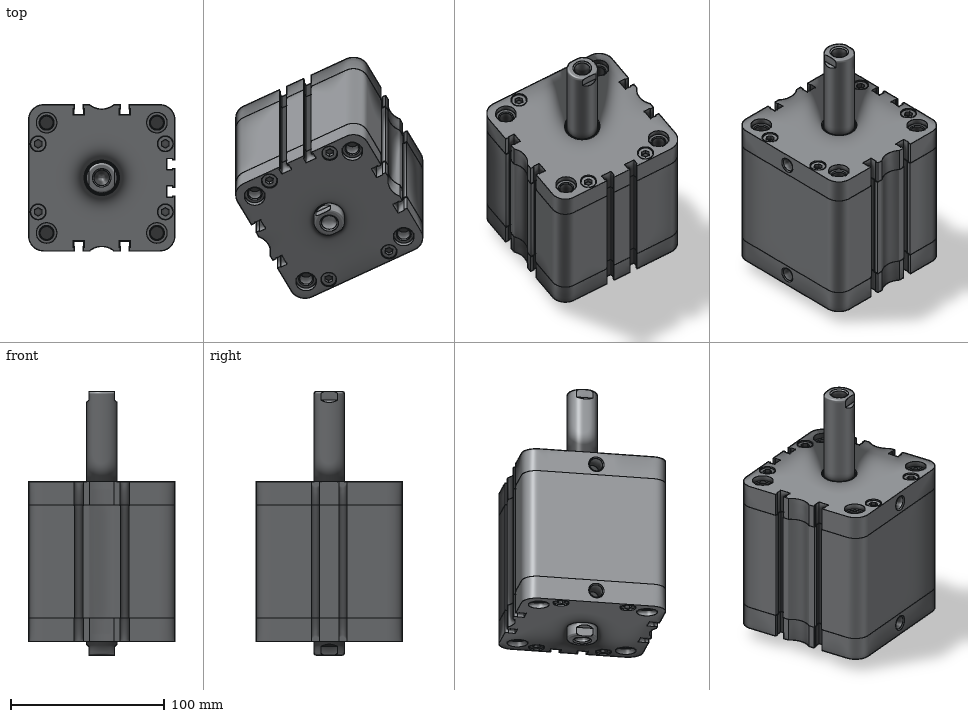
import cadquery as cq
import math

BODY_SIDE = 95.5
HALF_SIDE = BODY_SIDE / 2
BODY_CORNER_RADIUS = 10.0
ROD_LENGTH = 172.0
BODY_HEIGHT = 104.2
ROD_LOWER_OVERHANG = 9.0
COVER_HEIGHT = 15.3
BARREL_HEIGHT = BODY_HEIGHT - 2 * COVER_HEIGHT
BORE_DIAMETER = 80.0

ROD_DIAMETER = 20.0
ROD_EDGE_RADIUS = 1.7
ROD_FLAT_WIDTH = 16.9
ROD_FLAT_LENGTH = 5.7
ROD_THREAD_DIAMETER = 10.1
ROD_THREAD_MOUTH = 12.0
ROD_THREAD_DEPTH = 20.6
DRILL_POINT_ANGLE = 118.0

SEAL_DIAMETER = 21.8
SEAL_SEAT_MOUTH = 23.0
SEAL_SEAT_DEPTH = 6.9
SEAL_LIP_DIAMETER = 20.6
SEAL_LIP_DEPTH = 1.7

COVER_SLOT_CLEARANCE = 0.5
SENSOR_SLOT_OFFSET = 15.0
SENSOR_SLOT_NECK = 5.3
SENSOR_SLOT_WIDTH = 6.4
SENSOR_SLOT_DEPTH = 6.4
SENSOR_SLOT_LIP = 3.0
SIDE_SLOT_OFFSET = 9.0
SIDE_SLOT_NECK = 5.5
SIDE_SLOT_WIDTH = 7.2
SIDE_SLOT_DEPTH = 5.3
SIDE_SLOT_LIP = 1.5

GROOVE_DIAMETER = 25.0
GROOVE_DEPTH = 3.0
GROOVE_EDGE_RADIUS = 1.7

MOUNT_OFFSET = 36.0
MOUNT_COUNTERBORE = 13.5
MOUNT_COUNTERBORE_DEPTH = 3.6
MOUNT_HOLE_DIAMETER = 8.5
MOUNT_HOLE_MOUTH = 9.8
MOUNT_HOLE_DEPTH = 13.8

SCREW_X = 41.5
SCREW_Y = 22.2
SCREW_RECESS_DIAMETER = 10.3
SCREW_HEAD_DIAMETER = 9.8
SCREW_RECESS_DEPTH = 0.9
SCREW_GAP_DEPTH = 2.5
SCREW_SOCKET_FLATS = 4.8
SCREW_SOCKET_DEPTH = 3.0

PORT_INSET = 8.0
PORT_DIAMETER = 8.6
PORT_MOUTH = 10.1
PORT_DEPTH = 13.8


def countersunk_cutter(hole_diameter, mouth_diameter, depth):
    """Blind hole going down from z = 0, with a 45 degree chamfer at its mouth."""
    chamfer = (mouth_diameter - hole_diameter) / 2
    hole = cq.Workplane("XY").circle(hole_diameter / 2).extrude(-depth)
    mouth = cq.Solid.makeCone(hole_diameter / 2, mouth_diameter / 2, chamfer, cq.Vector(0, 0, -chamfer))
    return hole.union(cq.Workplane(mouth))


def t_slot_cutter(neck, width, depth, lip, length):
    """T-slot opening towards -Y, with its mouth in the plane y = 0."""
    neck_cut = cq.Workplane("XY").rect(neck, 2 * depth).extrude(length)
    wide_cut = cq.Workplane("XY").center(0, (lip + depth) / 2).rect(width, depth - lip).extrude(length)
    return neck_cut.union(wide_cut)


def sensor_slots(length, clearance):
    """The two T-slots in each of the -Y and +Y sides."""
    slot = t_slot_cutter(
        SENSOR_SLOT_NECK + 2 * clearance,
        SENSOR_SLOT_WIDTH + 2 * clearance,
        SENSOR_SLOT_DEPTH + clearance,
        SENSOR_SLOT_LIP - clearance,
        length,
    )
    slots = cq.Workplane("XY")
    for turn in (0, 180):
        for x in (-SENSOR_SLOT_OFFSET, SENSOR_SLOT_OFFSET):
            placed = slot.translate((x, -HALF_SIDE, 0)).rotate((0, 0, 0), (0, 0, 1), turn)
            slots = slots.add(placed)
    return slots.combine()


def side_slots(length):
    """The two T-slots in the +X side."""
    slot = t_slot_cutter(SIDE_SLOT_NECK, SIDE_SLOT_WIDTH, SIDE_SLOT_DEPTH, SIDE_SLOT_LIP, length)
    slots = cq.Workplane("XY")
    for offset in (-SIDE_SLOT_OFFSET, SIDE_SLOT_OFFSET):
        placed = slot.translate((offset, -HALF_SIDE, 0)).rotate((0, 0, 0), (0, 0, 1), 90)
        slots = slots.add(placed)
    return slots.combine()


def groove_half_width():
    radius = GROOVE_DIAMETER / 2
    return math.sqrt(radius**2 - (radius - GROOVE_DEPTH) ** 2)


def profile_block(height, slot_clearance, groove_edge_radius):
    """Square block with rounded corners, T-slots and the two concave grooves."""
    block = cq.Workplane("XY").rect(BODY_SIDE, BODY_SIDE).extrude(height)
    block = block.edges("|Z").fillet(BODY_CORNER_RADIUS)
    groove_axis = HALF_SIDE - GROOVE_DEPTH + GROOVE_DIAMETER / 2
    for y in (-groove_axis, groove_axis):
        block = block.cut(cq.Workplane("XY").center(0, y).circle(GROOVE_DIAMETER / 2).extrude(height))
    if groove_edge_radius > 0:
        reach = groove_half_width() + groove_edge_radius / 2
        middle = cq.selectors.BoxSelector((-reach, -BODY_SIDE, 0), (reach, BODY_SIDE, height))
        block = block.edges("|Z").edges(middle).fillet(groove_edge_radius)
    return block.cut(sensor_slots(height, slot_clearance)).cut(side_slots(height))


def make_barrel():
    barrel = profile_block(BARREL_HEIGHT, 0, GROOVE_EDGE_RADIUS)
    bore = cq.Workplane("XY").circle(BORE_DIAMETER / 2).extrude(BARREL_HEIGHT)
    return barrel.cut(bore).translate((0, 0, COVER_HEIGHT))


def mount_hole_cutter():
    counterbore = cq.Workplane("XY").circle(MOUNT_COUNTERBORE / 2).extrude(-MOUNT_COUNTERBORE_DEPTH)
    hole_depth = MOUNT_HOLE_DEPTH - MOUNT_COUNTERBORE_DEPTH
    hole = countersunk_cutter(MOUNT_HOLE_DIAMETER, MOUNT_HOLE_MOUTH, hole_depth)
    return counterbore.union(hole.translate((0, 0, -MOUNT_COUNTERBORE_DEPTH)))


def screw_cutter():
    """Recess over a sunk screw head, the narrow gap around the head and its hexagon socket."""
    gap = cq.Workplane("XY").circle(SCREW_RECESS_DIAMETER / 2).extrude(-SCREW_GAP_DEPTH)
    head_height = SCREW_GAP_DEPTH - SCREW_RECESS_DEPTH
    head = cq.Workplane("XY").circle(SCREW_HEAD_DIAMETER / 2).extrude(head_height)
    across_corners = SCREW_SOCKET_FLATS / math.cos(math.pi / 6)
    socket = cq.Workplane("XY").polygon(6, across_corners).extrude(-SCREW_SOCKET_DEPTH)
    socket = socket.rotate((0, 0, 0), (0, 0, 1), 90)
    return gap.cut(head.translate((0, 0, -SCREW_GAP_DEPTH))).union(
        socket.translate((0, 0, -SCREW_RECESS_DEPTH))
    )


def make_plain_cover():
    """Cover with its outer face up at z = COVER_HEIGHT and a bore that fits the rod."""
    cover = profile_block(COVER_HEIGHT, COVER_SLOT_CLEARANCE, 0)
    cover = cover.cut(cq.Workplane("XY").circle(ROD_DIAMETER / 2).extrude(COVER_HEIGHT))
    mount_hole = mount_hole_cutter()
    screw = screw_cutter()
    for x_side in (-1, 1):
        for y_side in (-1, 1):
            mount_place = (x_side * MOUNT_OFFSET, y_side * MOUNT_OFFSET, COVER_HEIGHT)
            screw_place = (x_side * SCREW_X, y_side * SCREW_Y, COVER_HEIGHT)
            cover = cover.cut(mount_hole.translate(mount_place)).cut(screw.translate(screw_place))
    port = countersunk_cutter(PORT_DIAMETER, PORT_MOUTH, PORT_DEPTH).rotate((0, 0, 0), (0, 1, 0), -90)
    return cover.cut(port.translate((-HALF_SIDE, 0, COVER_HEIGHT - PORT_INSET)))


def make_lower_cover():
    return make_plain_cover().mirror("XY").translate((0, 0, COVER_HEIGHT))


def make_upper_cover():
    seat = countersunk_cutter(SEAL_DIAMETER, SEAL_SEAT_MOUTH, SEAL_SEAT_DEPTH)
    cover = make_plain_cover().cut(seat.translate((0, 0, COVER_HEIGHT)))
    return cover.translate((0, 0, BODY_HEIGHT - COVER_HEIGHT))


def make_seal():
    """Ring around the rod, clear of it at the top, which is level with the foot of the seat chamfer."""
    height = SEAL_SEAT_DEPTH - (SEAL_SEAT_MOUTH - SEAL_DIAMETER) / 2
    ring = cq.Workplane("XY").circle(SEAL_DIAMETER / 2).circle(ROD_DIAMETER / 2).extrude(height)
    gap = cq.Workplane("XY").circle(SEAL_LIP_DIAMETER / 2).extrude(-SEAL_LIP_DEPTH)
    ring = ring.cut(gap.translate((0, 0, height)))
    return ring.translate((0, 0, BODY_HEIGHT - SEAL_SEAT_DEPTH))


def rod_end_cutter():
    """Two wrench flats and a threaded hole, for a rod end that faces up at z = 0."""
    rod_radius = ROD_DIAMETER / 2
    flat_x = ROD_FLAT_WIDTH / 2
    slope = rod_radius - flat_x
    flat = (
        cq.Workplane("XZ")
        .moveTo(flat_x, 0)
        .lineTo(flat_x, -ROD_FLAT_LENGTH)
        .lineTo(rod_radius, -ROD_FLAT_LENGTH - slope)
        .lineTo(rod_radius, 0)
        .close()
        .extrude(rod_radius, both=True)
    )
    thread = countersunk_cutter(ROD_THREAD_DIAMETER, ROD_THREAD_MOUTH, ROD_THREAD_DEPTH)
    thread_radius = ROD_THREAD_DIAMETER / 2
    point_depth = thread_radius / math.tan(math.radians(DRILL_POINT_ANGLE / 2))
    point = cq.Solid.makeCone(0, thread_radius, point_depth, cq.Vector(0, 0, -ROD_THREAD_DEPTH - point_depth))
    return flat.union(flat.mirror("YZ")).union(thread).union(cq.Workplane(point))


def make_rod():
    rod = cq.Workplane("XY").circle(ROD_DIAMETER / 2).extrude(ROD_LENGTH).edges().fillet(ROD_EDGE_RADIUS)
    end = rod_end_cutter()
    rod = rod.cut(end.translate((0, 0, ROD_LENGTH))).cut(end.mirror("XY"))
    return rod.translate((0, 0, -ROD_LOWER_OVERHANG))


barrel = make_barrel()
lower_cover = make_lower_cover()
upper_cover = make_upper_cover()
seal = make_seal()
rod = make_rod()

result = cq.Compound.makeCompound(
    [barrel.val(), lower_cover.val(), upper_cover.val(), seal.val(), rod.val()]
)